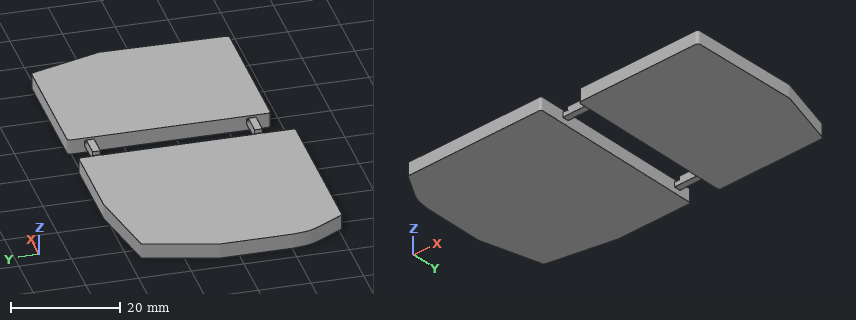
import cadquery as cq

total_length = 73.7
total_width = 41.4
plate_thickness = 3.0

gap_start = 37.2
gap_width = 6.7
gap_end = gap_start + gap_width

left_plate_width = 41.2
top_slope_start = 19.55
shoulder_x = 3.7
shoulder_y = 38.35
left_flat_top = 24.4
left_flat_bottom = 10.5
facet_end_x = 0.2
facet_end_y = 8.6
round_end_x = 1.3
round_end_y = 5.4
bottom_edge_start = 4.5

right_plate_bottom = 2.8
right_top_corner_x = 69.5
right_peak_y = 27.4
right_bottom_corner_x = 73.3

left_corner_radius = 0.5
right_corner_radius = 0.7
left_flat_radius = 1.85

bridge_width = 1.5
bridge_centers_y = (6.7, 37.45)
bridge_bottom = 1.3
bridge_low_top = 2.4
bridge_high_top = 3.25
bridge_step_length = 1.1


def round_vertical_edge(plate, x, y, radius):
    """Fillet the upright edge of a plate at the given outline corner."""
    corner = cq.selectors.NearestToPointSelector((x, y, plate_thickness / 2))
    return plate.edges("|Z").edges(corner).fillet(radius)


def make_left_plate():
    plate = (
        cq.Workplane("XY")
        .moveTo(gap_start, 0)
        .lineTo(gap_start, left_plate_width)
        .lineTo(top_slope_start, left_plate_width)
        .lineTo(shoulder_x, shoulder_y)
        .lineTo(0, left_flat_top)
        .lineTo(0, left_flat_bottom)
        .lineTo(facet_end_x, facet_end_y)
        .tangentArcPoint((round_end_x, round_end_y), relative=False)
        .lineTo(bottom_edge_start, 0)
        .close()
        .extrude(plate_thickness)
    )
    small_corners = (
        (gap_start, 0),
        (gap_start, left_plate_width),
        (shoulder_x, shoulder_y),
        (bottom_edge_start, 0),
    )
    for x, y in small_corners:
        plate = round_vertical_edge(plate, x, y, left_corner_radius)
    return round_vertical_edge(plate, 0, left_flat_top, left_flat_radius)


def make_right_plate():
    rounded_corners = (
        (gap_end, right_plate_bottom),
        (gap_end, total_width),
        (right_top_corner_x, total_width),
        (right_bottom_corner_x, right_plate_bottom),
    )
    outline = rounded_corners[:3] + ((total_length, right_peak_y),) + rounded_corners[3:]
    plate = cq.Workplane("XY").polyline(outline).close().extrude(plate_thickness)
    for x, y in rounded_corners:
        plate = round_vertical_edge(plate, x, y, right_corner_radius)
    return plate


def make_bridge(center_y):
    """Bar across the gap whose middle stands proud of its two ends."""
    step_start = gap_start + bridge_step_length
    step_end = gap_end - bridge_step_length
    profile = (
        (gap_start, bridge_bottom),
        (gap_end, bridge_bottom),
        (gap_end, bridge_low_top),
        (step_end, bridge_low_top),
        (step_end, bridge_high_top),
        (step_start, bridge_high_top),
        (step_start, bridge_low_top),
        (gap_start, bridge_low_top),
    )
    bar = cq.Workplane("XZ").polyline(profile).close().extrude(bridge_width / 2, both=True)
    return bar.translate((0, center_y, 0))


result = make_left_plate().union(make_right_plate())
for bridge_y in bridge_centers_y:
    result = result.union(make_bridge(bridge_y))